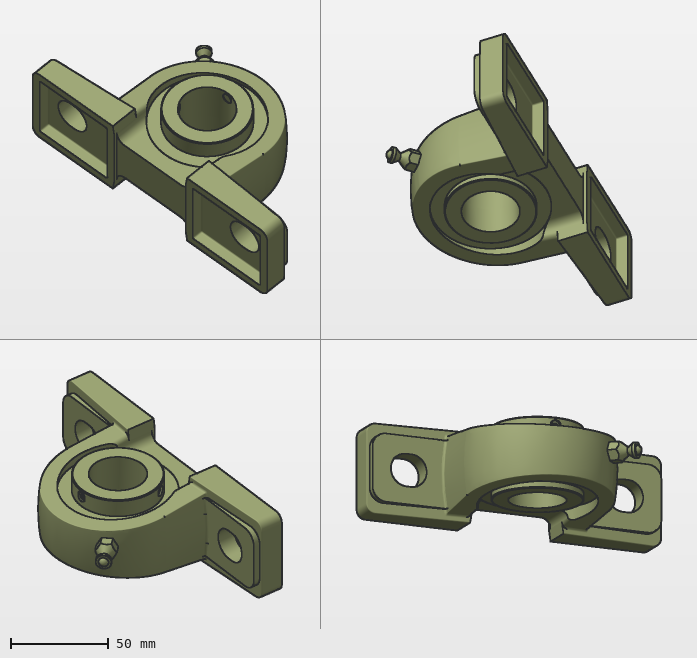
import cadquery as cq
import math

total_length = 165.0
foot_height = 48.0
base_y = -42.9
foot_outer_top_y = -29.9
foot_inner_top_y = -26.2
foot_corner_radius = 5.0
foot_edge_fillet = 0.5
root_block_length = 23.1
root_block_height = 45.2
pad_top_y = -26.0
pad_outer_x = 80.8
pad_height = 36.3
pad_corner_radius = 7.6
pocket_inner_x = 30.0
pocket_outer_x = 77.5
pocket_height = 38.5
pocket_depth = 6.5
pocket_corner_radius = 1.0
pocket_floor_fillet = 0.8
bolt_hole_x = 60.5
bolt_hole_length = 20.0
bolt_hole_width = 17.3

housing_radius = 41.1
crown_radius = 99.0
housing_half_height = 17.7
housing_taper = 6.4
housing_bottom_y = -41.0
housing_edge_fillet = 0.5
root_fillet = 1.3
channel_half_width = 25.0
channel_mouth_half_width = 26.0
channel_floor_z = 12.4
channel_radius = 5.3
channel_edge_fillet = 3.0

recess_radius = 31.2
seal_z = 12.2
ring_radius = 23.8
ring_top_z = 22.3
ring_bottom_z = -15.8
ring_chamfer = 0.5
bore_radius = 15.0
screw_z = 18.0
screw_radius = 2.8
screw_recess = 1.3
screw_tip = 15.2
socket_size = 3.1
socket_depth = 3.3
screw_angles = (90, 210)

nipple_angle = 135
nipple_z = 5.3
nipple_root = 36.3
nipple_hex_end = 45.4
nipple_hex_flats = 9.9
nipple_neck = 50.2
nipple_neck_radius = 2.0
nipple_head_start = 53.5
nipple_head_end = 55.1
nipple_head_radius = 4.1
nipple_tip = 57.3
nipple_tip_radius = 2.6

half_length = total_length / 2
through = 2 * total_length
edge_margin = 1.6


def box_between(x0, x1, y0, y1, z0, z1):
    return cq.Workplane("XY").box(x1 - x0, y1 - y0, z1 - z0, centered=False).translate((x0, y0, z0))


def mirrored_pair(shape):
    return shape.union(shape.mirror("YZ"))


def radial_plane(angle, distance, z):
    """Plane at a distance from the bore axis that faces outward at an angle."""
    direction = (math.cos(math.radians(angle)), math.sin(math.radians(angle)))
    return cq.Plane(
        origin=(distance * direction[0], distance * direction[1], z),
        xDir=(-direction[1], direction[0], 0),
        normal=(direction[0], direction[1], 0),
    )


def make_housing():
    """Dome and straight legs with a crowned rim, between two tapered Z faces."""
    reach_z = foot_height / 2
    drop = crown_radius - math.sqrt(crown_radius**2 - reach_z**2)
    edge_x = housing_radius - drop

    dome = (
        cq.Workplane("XZ").moveTo(0, -reach_z).lineTo(edge_x, -reach_z)
        .threePointArc((housing_radius, 0), (edge_x, reach_z)).lineTo(0, reach_z).close()
        .revolve(180, (0, 0, 0), (0, 1, 0))
    )
    legs = (
        cq.Workplane("XZ").moveTo(-edge_x, -reach_z).lineTo(edge_x, -reach_z)
        .threePointArc((housing_radius, 0), (edge_x, reach_z)).lineTo(-edge_x, reach_z)
        .threePointArc((-housing_radius, 0), (-edge_x, -reach_z)).close()
        .extrude(-housing_bottom_y)
    )
    slope = math.tan(math.radians(housing_taper))
    far_y = 2 * housing_radius
    near_z = housing_half_height - slope * housing_bottom_y
    far_z = housing_half_height - slope * far_y
    wedge = (
        cq.Workplane("YZ")
        .polyline([(housing_bottom_y, -near_z), (far_y, -far_z), (far_y, far_z), (housing_bottom_y, near_z)])
        .close().extrude(total_length, both=True)
    )
    housing = dome.union(legs).intersect(wedge)
    return housing.faces("<Z or >Z").edges("not <Y").fillet(housing_edge_fillet)


def make_channels():
    """Channels on both Z sides that lead from the base to the bearing seat."""
    corner = channel_radius * (1 - math.sqrt(0.5))
    wall_z = channel_floor_z + channel_radius
    mouth_z = foot_height / 2
    flat_x = channel_half_width - channel_radius
    channel = (
        cq.Workplane("XZ").moveTo(-flat_x, channel_floor_z).lineTo(flat_x, channel_floor_z)
        .threePointArc((channel_half_width - corner, channel_floor_z + corner), (channel_half_width, wall_z))
        .lineTo(channel_mouth_half_width, mouth_z).lineTo(-channel_mouth_half_width, mouth_z)
        .lineTo(-channel_half_width, wall_z)
        .threePointArc((corner - channel_half_width, channel_floor_z + corner), (-flat_x, channel_floor_z))
        .close().extrude(through)
    )
    return channel.union(channel.mirror("XY"))


def make_foot_wedge(length, height):
    """Block under the sloped top of the +X foot, from its inner end outward."""
    slope = (foot_inner_top_y - foot_outer_top_y) / (half_length - channel_half_width)
    return (
        cq.Workplane("XY")
        .polyline([(channel_half_width, base_y), (channel_half_width + length, base_y),
                   (channel_half_width + length, foot_inner_top_y - slope * length),
                   (channel_half_width, foot_inner_top_y)])
        .close().extrude(height / 2, both=True)
    )


def make_foot():
    foot = make_foot_wedge(half_length - channel_half_width, foot_height)
    foot = foot.edges("|Y and >X").fillet(foot_corner_radius)
    foot = foot.faces(">Y").edges("not <X").fillet(foot_edge_fillet)
    pad = box_between(channel_half_width, pad_outer_x, (base_y + pad_top_y) / 2, pad_top_y,
                      -pad_height / 2, pad_height / 2)
    return foot.union(pad.edges("|Y and >X").fillet(pad_corner_radius))


def is_root_edge(edge):
    """Edge where the housing meets the sloped top of a foot, outside the channels."""
    box = edge.BoundingBox()
    top_level = abs((box.ymin + box.ymax) / 2 - foot_inner_top_y) < edge_margin
    on_top = top_level and box.ylen < edge_margin
    middle = edge.Center()
    on_housing = abs(middle.x) < housing_radius and abs(middle.z) < root_block_height / 2 - edge_margin
    on_channel = edge.geomType() == "LINE" and abs(middle.x) < channel_half_width + edge_margin
    return on_top and on_housing and not on_channel


def is_channel_edge(edge):
    """Straight edge where a channel wall meets a tapered face of the housing."""
    middle = edge.Center()
    beside_channel = channel_half_width < abs(middle.x) < channel_mouth_half_width
    above_foot = foot_inner_top_y < middle.y < 0
    outside = abs(middle.z) > housing_half_height
    return edge.geomType() == "LINE" and beside_channel and above_foot and outside


def is_pad_root_edge(edge):
    """Edge where the housing meets a surface at the level of the raised pads."""
    middle = edge.Center()
    at_level = abs(middle.y - pad_top_y) < edge_margin
    on_side = abs(abs(middle.x) - housing_radius) < edge_margin
    return at_level and on_side and edge.BoundingBox().zlen > pad_height / 2


def fillet_where(shape, test, radius):
    return shape.newObject([edge for edge in shape.edges().vals() if test(edge)]).fillet(radius)


def make_pad_blends():
    """Blend between the housing and each pad, only as wide as the pad."""
    outer_x = housing_radius + 2 * root_fillet
    shelf = box_between(-outer_x, outer_x, housing_bottom_y, pad_top_y, -foot_height / 2, foot_height / 2)
    blended = fillet_where(make_housing().union(shelf), is_pad_root_edge, root_fillet)
    inner_x = (recess_radius + housing_radius) / 2
    pad_zone = box_between(inner_x, outer_x, pad_top_y - root_fillet, pad_top_y + root_fillet,
                           -pad_height / 2, pad_height / 2)
    return blended.intersect(mirrored_pair(pad_zone))


def make_foot_cuts():
    pocket = box_between(pocket_inner_x, pocket_outer_x, base_y, base_y + pocket_depth,
                         -pocket_height / 2, pocket_height / 2)
    pocket = pocket.edges("|Y").fillet(pocket_corner_radius)
    pocket = pocket.faces(">Y").edges().fillet(pocket_floor_fillet)
    bolt_hole = (
        cq.Workplane("XZ").center(bolt_hole_x, 0).slot2D(bolt_hole_length, bolt_hole_width)
        .extrude(through, both=True)
    )
    return pocket.union(bolt_hole)


def make_inner_ring():
    return (
        cq.Workplane("XY").workplane(offset=ring_bottom_z).circle(ring_radius)
        .extrude(ring_top_z - ring_bottom_z).edges().chamfer(ring_chamfer)
    )


def make_screw_cuts(angle):
    """Recess and hexagon socket outside, and a flat screw tip inside the bore."""
    face = ring_radius - screw_recess
    recess = cq.Workplane(radial_plane(angle, face, screw_z)).circle(screw_radius).extrude(2 * screw_recess)
    socket = (
        cq.Workplane(radial_plane(angle, face - socket_depth, screw_z))
        .polygon(6, socket_size).extrude(2 * socket_depth)
    )
    tip = cq.Workplane(radial_plane(angle, 0, screw_z)).circle(screw_radius).extrude(screw_tip)
    return recess.union(socket).union(tip)


def make_nipple():
    hex_corner_radius = nipple_hex_flats / math.sqrt(3)
    hexagon = (
        cq.Workplane(radial_plane(nipple_angle, nipple_root, nipple_z))
        .polygon(6, 2 * hex_corner_radius).extrude(nipple_tip - nipple_root)
    )
    profile = [
        (0, nipple_root), (hex_corner_radius, nipple_root), (hex_corner_radius, nipple_hex_end),
        (nipple_neck_radius, nipple_neck), (nipple_head_radius, nipple_head_start),
        (nipple_head_radius, nipple_head_end), (nipple_tip_radius, nipple_head_end),
    ]
    dome_height = nipple_tip - nipple_head_end
    dome_radius = (nipple_tip_radius**2 + dome_height**2) / (2 * dome_height)
    half_angle = math.asin(nipple_tip_radius / dome_radius) / 2
    dome_middle = (dome_radius * math.sin(half_angle), nipple_tip - dome_radius * (1 - math.cos(half_angle)))
    turned = (
        cq.Workplane("XY").polyline(profile).threePointArc(dome_middle, (0, nipple_tip))
        .close().revolve(360, (0, 0, 0), (0, 1, 0))
        .rotate((0, 0, 0), (0, 0, 1), nipple_angle - 90).translate((0, 0, nipple_z))
    )
    return hexagon.intersect(turned)


channels = make_channels()
seat = cq.Workplane("XY").circle(recess_radius).extrude(through, both=True)

root_blocks = mirrored_pair(make_foot_wedge(root_block_length, root_block_height))
body = make_housing().cut(channels).cut(seat).union(root_blocks.cut(channels).cut(seat))
body = fillet_where(body, is_root_edge, root_fillet)
body = fillet_where(body, is_channel_edge, channel_edge_fillet)
body = body.union(mirrored_pair(make_foot()).cut(channels).cut(seat))
body = body.union(make_pad_blends())

seal = cq.Workplane("XY").circle(recess_radius).extrude(seal_z, both=True)
body = body.union(seal).union(make_inner_ring()).union(make_nipple())
body = body.cut(mirrored_pair(make_foot_cuts()))
body = body.cut(cq.Workplane("XY").circle(bore_radius).extrude(through, both=True))
for screw_angle in screw_angles:
    body = body.cut(make_screw_cuts(screw_angle))

result = body